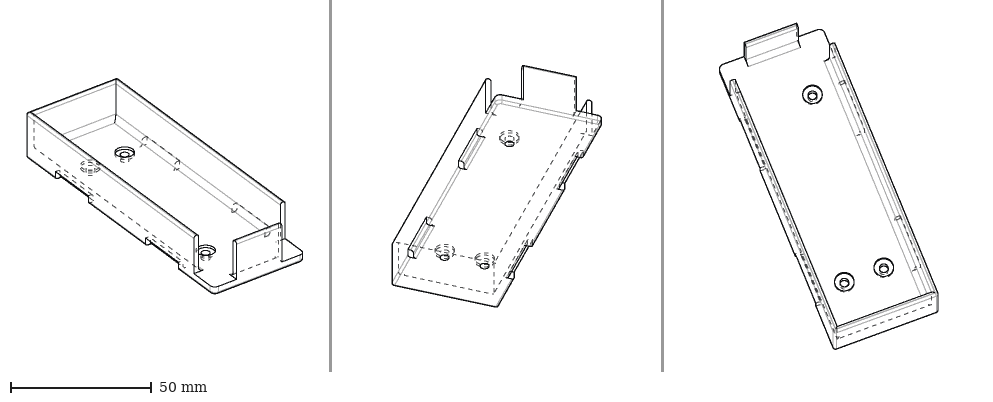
import cadquery as cq

length = 114.0
width = 40.0
height = 19.0
wall = 2.0
floor = 3.3
edge_round = 0.97
inner_round = 2.0

side_wall_length = 102.0
tab_width = 20.0
plan_corner_radius = 2.0

notch_length = 20.0
notch_starts = (18.0, 72.7)
notch_height = 3.3
notch_depth = 2.0
notch_inner_round = 1.0

hole_diameter = 3.2
counterbore_diameter = 7.0
counterbore_depth = 1.0
hole_places = ((21.9, 7.5), (21.9, -7.5), (91.9, -7.5))


def block(x_start, x_end, block_width, z_start, z_end):
    """Box centred on the long axis."""
    return (
        cq.Workplane("XY")
        .box(x_end - x_start, block_width, z_end - z_start, centered=(False, True, False))
        .translate((x_start, 0, z_start))
    )


def tray_body():
    """Tray closed at -X and open at +X, rounded along its outer edges and rims."""
    outer = block(0, length, width, 0, height)
    outer = outer.edges("|Z and >X").fillet(plan_corner_radius)
    outer = outer.edges("|Z and <X").fillet(edge_round)
    outer = outer.faces("<Z").edges().fillet(edge_round)
    cavity = block(wall, length + wall, width - 2 * wall, floor, height + wall)
    cavity = cavity.edges("|X and <Z").fillet(inner_round)
    end_round = block(wall, length + wall, width - 2 * wall, floor, height + wall)
    end_round = end_round.edges("|Y and <Z and <X").fillet(inner_round)
    tray = outer.cut(cavity.intersect(end_round))
    tray = tray.cut(block(side_wall_length, length, 2 * width, floor, 2 * height))
    return tray.faces(">Z").edges("not >X").fillet(edge_round)


def stop_tab():
    """Upright tab with a rounded top and a fillet at its inner foot."""
    inner_face = length - wall
    return (
        cq.Workplane("XZ")
        .moveTo(length, floor / 2)
        .lineTo(length, height - edge_round)
        .radiusArc((length - edge_round, height), -edge_round)
        .lineTo(inner_face + edge_round, height)
        .radiusArc((inner_face, height - edge_round), -edge_round)
        .lineTo(inner_face, floor + inner_round)
        .radiusArc((inner_face - inner_round, floor), inner_round)
        .lineTo(inner_face - inner_round, floor / 2)
        .close()
        .extrude(tab_width / 2, both=True)
    )


def side_notches():
    """Cutters for both long sides, each leaving a rounded lip and inner top corner."""
    back = width / 2 - notch_depth
    beyond_side = width
    profile = (
        cq.Workplane("YZ")
        .moveTo(beyond_side, 0)
        .lineTo(back - edge_round, 0)
        .radiusArc((back, edge_round), -edge_round)
        .lineTo(back, notch_height - notch_inner_round)
        .radiusArc((back + notch_inner_round, notch_height), notch_inner_round)
        .lineTo(beyond_side, notch_height)
        .close()
        .extrude(notch_length)
    )
    notches = cq.Workplane("XY")
    for start in notch_starts:
        notch = profile.translate((start, 0, 0))
        notches = notches.add(notch).add(notch.mirror("XZ"))
    return notches.combine()


def screw_holes():
    """Cutters for the counterbored screw holes."""
    holes = cq.Workplane("XY").pushPoints(hole_places).circle(hole_diameter / 2).extrude(floor)
    counterbores = (
        cq.Workplane("XY", origin=(0, 0, floor - counterbore_depth))
        .pushPoints(hole_places)
        .circle(counterbore_diameter / 2)
        .extrude(counterbore_depth)
    )
    return holes.union(counterbores)


result = tray_body().union(stop_tab()).cut(side_notches()).cut(screw_holes())